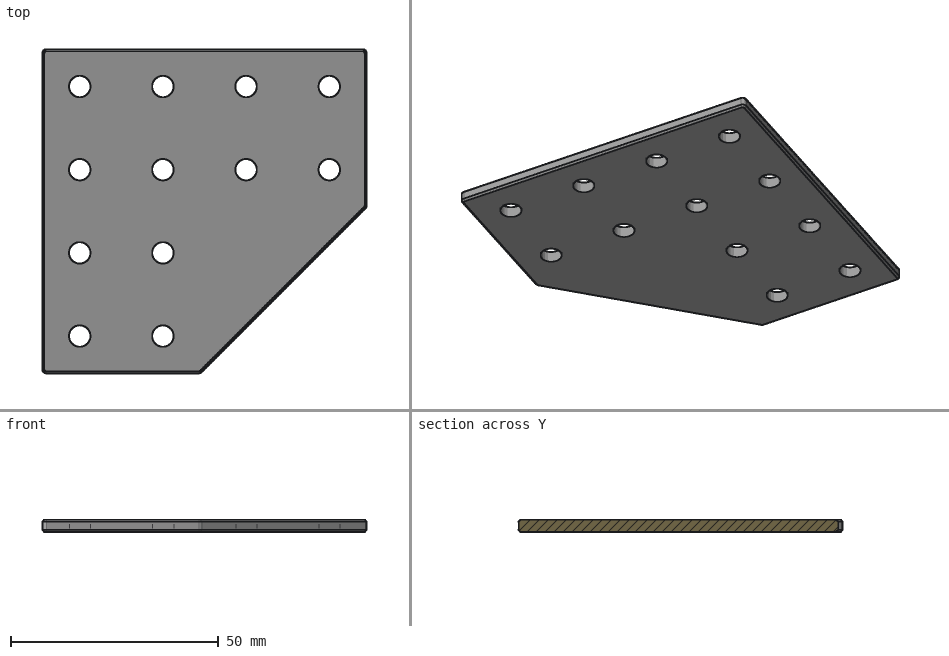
import cadquery as cq

side = 78.0
thickness = 3.0
straight_bottom = 38.0
diagonal_leg = side - straight_bottom
corner_radius = 1.0
edge_chamfer = 0.5

hole_diameter = 5.1
hole_pitch = 20.0
holes_per_side = 4
arm_width_in_holes = 2
hole_margin = (side - (holes_per_side - 1) * hole_pitch) / 2


def make_plate():
    """Square plate with its +X, -Y corner cut off at 45 degrees."""
    outline = [
        (0, 0),
        (straight_bottom, 0),
        (side, diagonal_leg),
        (side, side),
        (0, side),
    ]
    plate = cq.Workplane("XY").polyline(outline).close().extrude(thickness)
    plate = plate.edges("|Z").fillet(corner_radius)
    return plate.faces("<Z or >Z").edges().chamfer(edge_chamfer)


def hole_centres():
    """L pattern: the two left columns and the two top rows of the grid."""
    first_top_row = holes_per_side - arm_width_in_holes
    centres = []
    for column in range(holes_per_side):
        for row in range(holes_per_side):
            if column < arm_width_in_holes or row >= first_top_row:
                x = hole_margin + column * hole_pitch
                y = hole_margin + row * hole_pitch
                centres.append((x, y))
    return centres


def make_holes():
    """Cylinders that pass through the full thickness."""
    return (
        cq.Workplane("XY")
        .pushPoints(hole_centres())
        .circle(hole_diameter / 2)
        .extrude(thickness)
    )


result = make_plate().cut(make_holes())